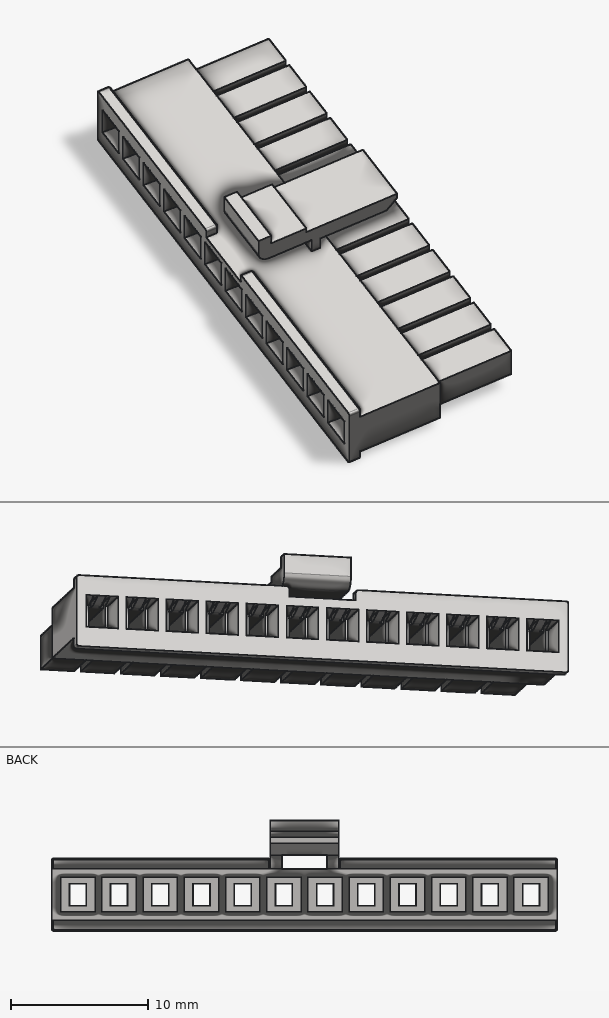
import cadquery as cq

contact_count = 12
end_margin = 1.9
length = 36.85
total_depth = 14.0
total_height = 8.07

flange_height = 5.3
flange_thickness = 1.0
flange_edge_radius = 0.2
flange_rear_chamfer = 0.1

body_depth = 7.63
body_height = 3.75
sleeve_width = 2.5
sleeve_height = 2.5

mouth_size = 2.4
throat_size = 1.6
funnel_depth = 1.62
bore_width = 1.2
relief_width = 0.3
relief_depth = 2.2

latch_width = 5.0
lever_front = 1.5
lever_back = 13.15
lever_top = 6.85
lever_bottom = 5.53
lever_tip_chamfer = 0.9
pad_back = 5.53
pad_top = 7.25
pad_bottom = 5.75
pad_nose_radius = 0.92
lip_back = 2.58
post_front = 5.97
post_back = 6.7
post_width = 0.9

pitch = (length - 2 * end_margin) / (contact_count - 1)
axis_z = flange_height / 2
body_top = axis_z + body_height / 2
contact_places = [(i - (contact_count - 1) / 2) * pitch for i in range(contact_count)]


def block(width, y_front, y_back, z_bottom, z_top, x_center=0.0):
    """Box centred on x_center, spanning the given Y and Z ranges."""
    box = cq.Workplane("XY").box(
        width, y_back - y_front, z_top - z_bottom, centered=(True, False, False))
    return box.translate((x_center, y_front, z_bottom))


def make_flange():
    """Front flange, split at the top by a gap as wide as the latch, with rounded edges.

    The raised top parts are also chamfered along their rear edge.
    """
    flange = block(length, 0, flange_thickness, 0, flange_height)
    flange = flange.cut(block(latch_width, 0, flange_thickness, body_top, flange_height))
    top_edges = flange.faces(">Z").edges("|Y")
    bottom_edges = flange.faces("<Z").edges("|Y")
    flange = top_edges.add(bottom_edges).fillet(flange_edge_radius)
    return flange.faces(">Z").edges(">Y").chamfer(flange_rear_chamfer)


def make_sleeve(x):
    """Contact sleeve running back from the body."""
    half_height = sleeve_height / 2
    return block(sleeve_width, body_depth, total_depth, axis_z - half_height, axis_z + half_height, x)


def make_cavity(x):
    """Tapered mouth leading into a through bore, with two relief grooves in the top ramp."""
    funnel = (
        cq.Workplane("XZ", origin=(x, 0, axis_z))
        .rect(mouth_size, mouth_size)
        .workplane(offset=-funnel_depth)
        .rect(throat_size, throat_size)
        .loft(ruled=True)
    )
    bore_bottom = axis_z - throat_size / 2
    bore_top = axis_z + throat_size / 2
    cavity = funnel.union(block(bore_width, 0, total_depth, bore_bottom, bore_top, x))
    relief_offset = (bore_width - relief_width) / 2
    for side in (-1, 1):
        cavity = cavity.union(block(
            relief_width, 0, relief_depth, axis_z, axis_z + mouth_size / 2, x + side * relief_offset))
    return cavity


def make_latch():
    """Lever with a raised pad and finger lip, carried above the body on two posts."""
    lever = (
        cq.Workplane("YZ", origin=(-latch_width / 2, 0, 0))
        .moveTo(lever_front + pad_nose_radius, pad_bottom)
        .lineTo(post_front, pad_bottom)
        .lineTo(post_front, lever_bottom)
        .lineTo(lever_back - lever_tip_chamfer, lever_bottom)
        .lineTo(lever_back, lever_bottom + lever_tip_chamfer)
        .lineTo(lever_back, lever_top)
        .lineTo(pad_back, lever_top)
        .lineTo(pad_back, pad_top)
        .lineTo(lip_back, pad_top)
        .lineTo(lip_back, total_height)
        .lineTo(lever_front, total_height)
        .lineTo(lever_front, pad_bottom + pad_nose_radius)
        .radiusArc((lever_front + pad_nose_radius, pad_bottom), -pad_nose_radius)
        .close()
        .extrude(latch_width)
    )
    post_offset = (latch_width - post_width) / 2
    for side in (-1, 1):
        lever = lever.union(
            block(post_width, post_front, post_back, body_top, pad_bottom, side * post_offset))
    return lever


result = block(length, 0, body_depth, axis_z - body_height / 2, body_top)
result = result.union(make_flange())
for place in contact_places:
    result = result.union(make_sleeve(place))
for place in contact_places:
    result = result.cut(make_cavity(place))
result = result.union(make_latch())